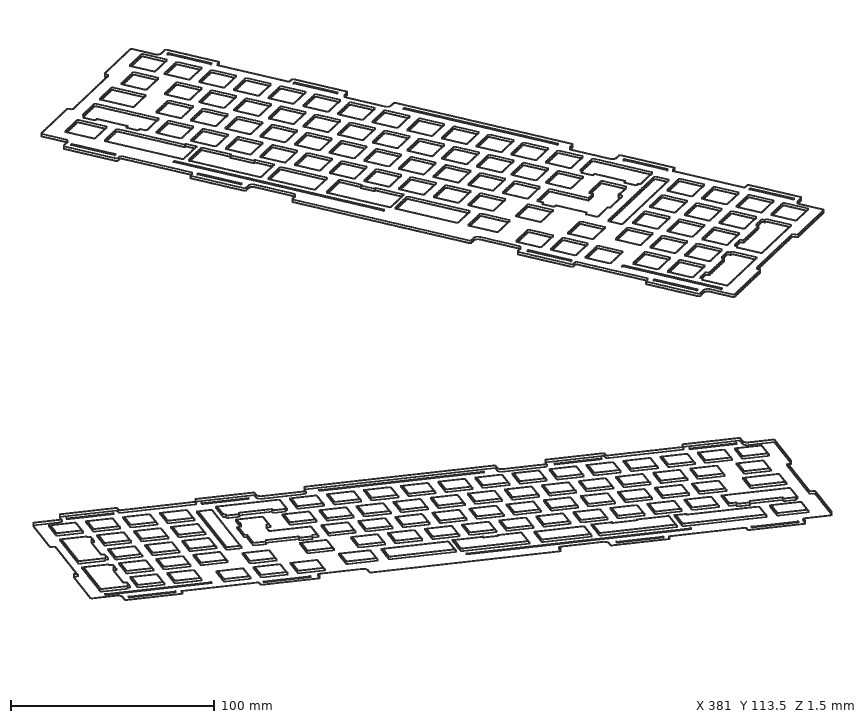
import cadquery as cq


LENGTH = 381.0
WIDTH = 113.5
THICKNESS = 1.5

CORNER_EDGE_Y = 50.0
LINK_EDGE_Y = 53.5
NOTCH_EDGE_Y = 51.0
OUTER_TAB = (145.0, 175.0)
INNER_TAB = (74.5, 105.0)
CENTRE_TAB_HALF = 49.0
SIDE_RECESS_DEPTH = 2.5
SIDE_RECESS_HALF = 20.2
NOTCH_FILLET = 2.3
BORDER_FILLET = 0.8

KEY_UNIT = 19.0
LAYOUT_UNITS = 19.5
HOME_ROW = 3
SPACE_ROW = 5
HOME_ROW_Y = KEY_UNIT / 8
ARROW_DROP = KEY_UNIT / 4
SWITCH_TO_UNIT = 14 / 19.05
SWITCH = KEY_UNIT * SWITCH_TO_UNIT
CORNER_RADIUS = 0.72
KEY_RUNS = ((1, 0.5, 13), (2, 2, 12), (3, 2.25, 11), (4, 2.75, 10))
NUMPAD_COLUMNS = (16, 17, 18)
TALL_KEY_COLUMN = 19

STABILIZER_OFFSET = KEY_UNIT * 5 / 8
STABILIZER_SPAN = 7.0
STABILIZER_REACH = 8.8
STABILIZER_OVERLAP = 5.0

SPACE_OPENINGS = ((-159.3, -116.0), (-113.0, -73.0), (-69.5, -43.5), (-37.5, -2.0), (0.5, 35.0))
SPACE_RAISED = ((-122.0, -116.0), (-113.0, -96.8), (-84.0, -73.0), (-37.5, -25.0), (-17.5, -2.0))
SPACE_RAISE = 0.95

CHANNEL_X = (100.2, 108.2)
CHANNEL_Y = (-8.0, 44.2)

SLOT_WIDTH = 1.0
TAB_SLOT_INSET = 3.5
TAB_SLOT_Y = WIDTH / 2 - TAB_SLOT_INSET
TAB_SLOT_LENGTH = 24.0
OUTER_TAB_SLOT_X = 160.0
INNER_TAB_SLOT_X = 90.7
CENTRE_SLOT_LENGTH = 84.5
FRONT_SLOT_Y = -47.0
FRONT_SLOTS = ((-119.0, -3.5), (127.5, 182.0))


def box(left, right, low, high):
    """Cutting block through the sheet, bounded in X by left/right and in Y by low/high."""
    centre = ((left + right) / 2, (low + high) / 2)
    return cq.Workplane("XY").center(*centre).rect(right - left, high - low).extrude(THICKNESS)


def column_x(units):
    return (units - LAYOUT_UNITS / 2) * KEY_UNIT


def row_y(row):
    """Centre of a row, counted from 1 at the back."""
    return HOME_ROW_Y + (HOME_ROW - row) * KEY_UNIT


def keys(first, row, last=None):
    """Opening one switch deep in one row, stretched from the first to the last switch position."""
    half = SWITCH / 2
    right_key = first if last is None else last
    y = row_y(row)
    return rounded(box(column_x(first) - half, column_x(right_key) + half, y - half, y + half))


def tall_key(units, back_row):
    """Opening that spans two rows of one column."""
    half = SWITCH / 2
    x = column_x(units)
    return rounded(box(x - half, x + half, row_y(back_row + 1) - half, row_y(back_row) + half))


def rounded(block):
    return block.edges("|Z").fillet(CORNER_RADIUS)


def front_stabilizers(units, row):
    """Pair of openings reaching toward the front of a wide key."""
    x, y = column_x(units), row_y(row)
    half = STABILIZER_SPAN / 2
    centres = (x - STABILIZER_OFFSET, x + STABILIZER_OFFSET)
    front, back = y - STABILIZER_REACH, y + STABILIZER_OVERLAP
    return [rounded(box(c - half, c + half, front, back)) for c in centres]


def left_stabilizers(units, row):
    """Pair of openings reaching toward the left of a tall key."""
    x, y = column_x(units), row_y(row)
    half = STABILIZER_SPAN / 2
    centres = (y - STABILIZER_OFFSET, y + STABILIZER_OFFSET)
    left, right = x - STABILIZER_REACH, x + STABILIZER_OVERLAP
    return [rounded(box(left, right, c - half, c + half)) for c in centres]


def sheet():
    """Stepped outline, drawn for one quarter and mirrored about both centre lines."""
    half_length = LENGTH / 2
    half_width = WIDTH / 2
    recess_x = half_length - SIDE_RECESS_DEPTH
    notch_corners = [
        (OUTER_TAB[1], CORNER_EDGE_Y),
        (INNER_TAB[0], NOTCH_EDGE_Y),
        (CENTRE_TAB_HALF, NOTCH_EDGE_Y),
    ]
    corners = [
        (recess_x, SIDE_RECESS_HALF),
        (half_length, SIDE_RECESS_HALF),
        (half_length, CORNER_EDGE_Y),
        notch_corners[0],
        (OUTER_TAB[1], half_width),
        (OUTER_TAB[0], half_width),
        (OUTER_TAB[0], LINK_EDGE_Y),
        (INNER_TAB[1], LINK_EDGE_Y),
        (INNER_TAB[1], half_width),
        (INNER_TAB[0], half_width),
        notch_corners[1],
        notch_corners[2],
        (CENTRE_TAB_HALF, half_width),
    ]
    outline = [(0, 0), (recess_x, 0)] + corners + [(0, half_width)]
    quarter = cq.Workplane("XY").polyline(outline).close().extrude(THICKNESS)
    for corner in corners:
        radius = NOTCH_FILLET if corner in notch_corners else BORDER_FILLET
        upright_edge = cq.selectors.NearestToPointSelector((*corner, THICKNESS / 2))
        quarter = quarter.edges("|Z").edges(upright_edge).fillet(radius)
    half = quarter.union(quarter.mirror("YZ"))
    return half.union(half.mirror("XZ")).clean()


def single_keys():
    """Openings for one fixed switch each, including the tab and right shift keys."""
    openings = []
    for row, first, count in KEY_RUNS:
        openings += [keys(first + i, row) for i in range(count)]
    openings += [keys(0.75, 2), keys(13.125, 4)]
    for row in (1, 2, 3, 4):
        openings += [keys(units, row) for units in NUMPAD_COLUMNS]
    openings += [keys(units, SPACE_ROW) for units in NUMPAD_COLUMNS[1:]]
    openings.append(keys(TALL_KEY_COLUMN, 1))
    return openings


def arrow_keys():
    cluster = [keys(14.75, 4)] + [keys(units, SPACE_ROW) for units in (13.75, 14.75, 15.75)]
    return [key.translate((0, -ARROW_DROP, 0)) for key in cluster]


def wide_keys():
    """Openings stretched to take a switch at more than one position."""
    caps_lock = [keys(0.625, 3, 0.875)]
    left_shift = [keys(0.625, 4, 1.75)] + front_stabilizers(1.125, 4)
    backspace = [keys(13.5, 1, 14.5)] + front_stabilizers(14, 1)
    control_keys = [keys(0.625, SPACE_ROW, 0.75), keys(12.25, SPACE_ROW, 12.375)]
    return caps_lock + left_shift + backspace + control_keys


def enter_keys():
    """Joined openings for a flat enter key and for a tall one."""
    flat = [keys(13.25, 3, 14.25)] + front_stabilizers(13.875, 3)
    tall = [keys(14.25, 2), keys(14.375, 2.5)] + left_stabilizers(14.375, 2.5)
    return flat + tall


def numpad_tall_keys():
    openings = []
    for back_row in (2, 4):
        openings.append(tall_key(TALL_KEY_COLUMN, back_row))
        openings += left_stabilizers(TALL_KEY_COLUMN, back_row + 0.5)
    return openings


def space_row():
    low = row_y(SPACE_ROW) - SWITCH / 2
    high = row_y(SPACE_ROW) + SWITCH / 2
    openings = [rounded(box(left, right, low, high)) for left, right in SPACE_OPENINGS]
    for left, right in SPACE_RAISED:
        openings.append(box(left, right, row_y(SPACE_ROW), high + SPACE_RAISE))
    return openings


def slot(left, right, y):
    return box(left, right, y - SLOT_WIDTH / 2, y + SLOT_WIDTH / 2)


def slots():
    half = TAB_SLOT_LENGTH / 2
    cuts = [slot(left, right, FRONT_SLOT_Y) for left, right in FRONT_SLOTS]
    for x in (-OUTER_TAB_SLOT_X, -INNER_TAB_SLOT_X, INNER_TAB_SLOT_X, OUTER_TAB_SLOT_X):
        cuts += [slot(x - half, x + half, y) for y in (-TAB_SLOT_Y, TAB_SLOT_Y)]
    cuts.append(slot(-CENTRE_SLOT_LENGTH / 2, CENTRE_SLOT_LENGTH / 2, TAB_SLOT_Y))
    return cuts


channel = rounded(box(*CHANNEL_X, *CHANNEL_Y))
cutters = [channel] + single_keys() + arrow_keys() + wide_keys() + enter_keys()
cutters += numpad_tall_keys() + space_row() + slots()
openings = [cutter.val() for cutter in cutters]
result = cq.Workplane(sheet().val().cut(*openings)).solids()